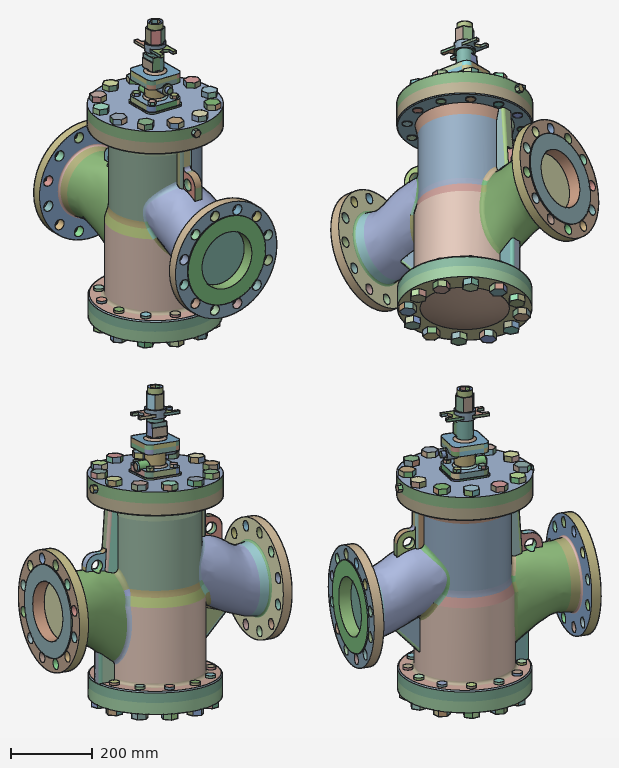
import cadquery as cq
import math


upper_radius = 115.0
lower_radius = 125.0
lower_root_fillet = 8.0
flare_radius = 121.5
flare_bottom_z = 219.5
belt_top_z = 42.0
belt_blend_radius = 117.5
belt_blend_z = 25.0
belt_bottom_z = 1.0

cover_diameter = 334.0
cover_top_z = 310.0
cover_seam_z = 280.0
cover_flange_bottom_z = 249.0
cover_edge_chamfer = 2.5
base_diameter = 330.0
base_flange_top_z = -200.0
base_edge_chamfer = 3.0
base_seam_z = -229.0
base_bottom_z = -258.0
dome_radius = 109.0
bottom_z = -279.5

bolt_count = 12
bolt_circle_radius = 142.0
base_bolt_circle_radius = 140.0
bolt_head_corners = 42.0
bolt_head_height = 14.5
base_bolt_head_height = 17.0
stud_diameter = 25.0
cover_stud_projection = 2.5
base_stud_projection = 6.5

overall_length = 604.0
nozzle_flange_diameter = 305.0
nozzle_flange_thickness = 25.0
raised_face_diameter = 233.0
raised_face_height = 3.0
bore_diameter = 150.0
bore_depth = 32.0
nozzle_hole_diameter = 27.0
nozzle_hole_circle_radius = 130.5
hub_root_radius = 92.0
hub_root_fillet = 5.0
hub_end_radius = 89.0
hub_end_x = 245.5
pipe_root_fillet = 12.0
inlet_sections = [
    (-hub_end_x, 0, hub_end_radius, hub_end_radius),
    (-215.0, -1.0, 83.5, 90.0),
    (-170.0, -15.0, 73.0, 104.0),
    (-121.5, -39.0, 65.0, 118.0),
    (-73.0, -53.0, 61.5, 121.5),
]
outlet_sections = [
    (hub_end_x, 0, hub_end_radius, hub_end_radius),
    (212.0, 10.0, 87.0, 88.0),
    (179.0, 27.0, 87.0, 92.0),
    (132.0, 46.0, 87.0, 88.0),
    (65.0, 82.0, 87.0, 87.5),
]

rib_thickness = 32.0
rib_rounding = 7.0
outlet_rib_x = 134.5
lug_thickness = 21.0
lug_diameter = 61.5
lug_hole_diameter = 30.0
lug_root_fillet = 9.0
inlet_lug = (-169.0, 99.0)
inlet_lug_foot_z = 65.0
inlet_lug_rib_x = -144.0
outlet_lug = (151.5, 150.0)
outlet_lug_foot_z = 105.0

plug_corners = 21.0
plug_tip_x = 178.0
plug_z = 294.0

gasket_side = 102.0
pilot_plate_side = 96.0
pilot_corner_radius = 16.0
gasket_top_z = 314.0
pilot_base_top_z = 330.0
pilot_bolt_offset = 33.0
pilot_bolt_diameter = 21.0
pilot_bolt_height = 8.0
pilot_barrel_diameter = 52.0
pilot_foot_diameter = 61.5
pilot_foot_height = 5.0
pilot_flange_bottom_z = 373.5
pilot_flange_seam_z = 385.5
pilot_flange_top_z = 398.5
low_port_diameter = 27.0
low_port_z = 334.0
low_port_tip_x = -55.0
low_port_chamfer = 3.0
high_port_diameter = 30.0
high_port_z = 366.0
high_port_face_x = 52.0
screw_tip_x = 63.0
screw_diameter = 17.0

neck_diameter = 42.0
neck_foot_diameter = 57.5
neck_foot_height = 5.0
block_bottom_z = 407.5
block_step_z = 432.5
block_top_z = 444.0
block_front_y = -23.5
cap_flats = 42.0
cap_bottom_z = 476.0
cap_shoulder_z = 515.0
cap_collar_diameter = 38.0
top_z = 530.5
socket_flats = 24.0
socket_depth = 14.5

collar_diameter = 53.0
collar_bottom_z = 454.5
arm_bottom_z = 459.0
arm_thickness = 7.0
arm_half_length = 56.0
arm_half_width = 23.9
notch_half_width = 13.4
notch_straight_x = 40.0
notch_tip_x = 32.0

overlap = 8.0


def cylinder_z(diameter, bottom_z, top):
    """Round bar on the Z axis between two heights."""
    return cq.Workplane("XY").workplane(offset=bottom_z).circle(diameter / 2).extrude(top - bottom_z)


def cone_z(bottom_diameter, top_diameter, bottom_z, height):
    """Cone frustum on the Z axis."""
    base = cq.Workplane("XY").workplane(offset=bottom_z).circle(bottom_diameter / 2)
    return base.workplane(offset=height).circle(top_diameter / 2).loft()


def cylinder_x(diameter, start_x, end_x, axis_z):
    """Round bar parallel to X between two positions."""
    plane = cq.Workplane("YZ", origin=(start_x, 0, axis_z))
    return plane.circle(diameter / 2).extrude(end_x - start_x)


def rounded_square(side, bottom_z, top):
    """Square plate with rounded corners, centred on the Z axis."""
    plate = cq.Workplane("XY").workplane(offset=bottom_z).rect(side, side).extrude(top - bottom_z)
    return plate.edges("|Z").fillet(pilot_corner_radius)


def hexagon_corners(flats):
    """Corner-to-corner size of a hexagon given across its flats."""
    return flats / math.cos(math.radians(30))


def make_shell():
    """Turned valve body between the two cover joints."""
    profile = (
        cq.Workplane("YZ")
        .moveTo(0, base_seam_z)
        .lineTo(base_diameter / 2, base_seam_z)
        .lineTo(base_diameter / 2, base_flange_top_z - base_edge_chamfer)
        .lineTo(base_diameter / 2 - base_edge_chamfer, base_flange_top_z)
        .lineTo(lower_radius + lower_root_fillet, base_flange_top_z)
        .radiusArc((lower_radius, base_flange_top_z + lower_root_fillet), lower_root_fillet)
        .lineTo(lower_radius, belt_bottom_z)
        .lineTo(belt_blend_radius, belt_blend_z)
        .tangentArcPoint((upper_radius, belt_top_z), relative=False)
        .lineTo(upper_radius, flare_bottom_z)
        .lineTo(flare_radius, cover_flange_bottom_z)
        .lineTo(cover_diameter / 2 - cover_edge_chamfer, cover_flange_bottom_z)
        .lineTo(cover_diameter / 2, cover_flange_bottom_z + cover_edge_chamfer)
        .lineTo(cover_diameter / 2, cover_seam_z)
        .lineTo(0, cover_seam_z)
        .close()
    )
    return profile.revolve(360, (0, 0, 0), (0, 1, 0))


def make_base_cover():
    """Lower cover with a shallow dome in its middle."""
    disc = cylinder_z(base_diameter, base_bottom_z, base_seam_z)
    dome_height = base_bottom_z - bottom_z
    dome_sphere_radius = (dome_radius**2 + dome_height**2) / (2 * dome_height)
    half_dome = (
        cq.Workplane("XZ")
        .moveTo(0, bottom_z)
        .radiusArc((dome_radius, base_bottom_z), -dome_sphere_radius)
        .lineTo(0, base_bottom_z)
        .close()
    )
    return disc.union(half_dome.revolve(360, (0, 0, 0), (0, 1, 0)))


def make_bolts(circle_radius, start_z, head_height, stud_end_z):
    """Ring of hexagon bolt heads on one cover face, with stud ends behind the flange."""
    head_direction = math.copysign(1, start_z)
    first_angle = 180 / bolt_count
    plane = cq.Workplane("XY").workplane(offset=start_z)
    heads = plane.polarArray(circle_radius, first_angle, 360, bolt_count).polygon(6, bolt_head_corners)
    heads = heads.extrude(head_direction * head_height)
    studs = plane.polarArray(circle_radius, first_angle, 360, bolt_count).circle(stud_diameter / 2)
    return heads.add(studs.extrude(stud_end_z - start_z)).combine()


def make_pipe(sections):
    """Lofted pipe through the given elliptical sections."""
    wires = []
    for x, z, half_width, half_height in sections:
        section = cq.Workplane("YZ", origin=(x, 0, z)).ellipse(half_height, half_width, 90)
        wires.append(section.wires().val())
    return cq.Workplane(cq.Solid.makeLoft(wires))


def join_pipe(shell, sections):
    """Turned body with one pipe joined to it by a rounded root."""
    side = math.copysign(1, sections[0][0])
    joined = shell.union(make_pipe(sections))
    reach = cover_diameter
    root_zone = cq.selectors.BoxSelector((0, -reach, -reach), (side * (lower_radius + overlap), reach, reach))
    return joined.edges("%BSPLINE").edges(root_zone).fillet(pipe_root_fillet)


def make_nozzle_flange(side):
    """Pipe flange with raised face, bolt holes and a tapered hub behind it."""
    end_x = overall_length / 2
    flange_face_x = end_x - raised_face_height
    flange_back_x = flange_face_x - nozzle_flange_thickness
    hub_root_x = flange_back_x - hub_root_fillet
    profile = (
        cq.Workplane("XZ")
        .moveTo(side * end_x, 0)
        .lineTo(side * end_x, raised_face_diameter / 2)
        .lineTo(side * flange_face_x, raised_face_diameter / 2)
        .lineTo(side * flange_face_x, nozzle_flange_diameter / 2)
        .lineTo(side * flange_back_x, nozzle_flange_diameter / 2)
        .lineTo(side * flange_back_x, hub_root_radius + hub_root_fillet)
        .radiusArc((side * hub_root_x, hub_root_radius), side * hub_root_fillet)
        .lineTo(side * hub_end_x, hub_end_radius)
        .lineTo(side * hub_end_x, 0)
        .close()
    )
    holes = (
        cq.Workplane("YZ", origin=(side * flange_back_x, 0, 0))
        .polarArray(nozzle_hole_circle_radius, 180 / bolt_count, 360, bolt_count)
        .circle(nozzle_hole_diameter / 2)
        .extrude(side * (nozzle_flange_thickness + raised_face_height))
    )
    return profile.revolve(360, (0, 0, 0), (1, 0, 0)).cut(holes)


def make_bore(side):
    """Blind bore in the face of the nozzle on the given side."""
    end_x = side * overall_length / 2
    return cylinder_x(bore_diameter, end_x - side * bore_depth, end_x, 0)


def make_rib(outline, outer_edges):
    """Upright rib in the middle plane, with both of its outer edges rounded."""
    rib = cq.Workplane("XZ").polyline(outline).close().extrude(rib_thickness / 2, both=True)
    return rib.faces(outer_edges).edges("not |Y").fillet(rib_rounding)


def make_ribs():
    """Ribs above and below both nozzles."""
    root_x = upper_radius - overlap
    top_of_ribs = cover_flange_bottom_z + overlap
    inlet_upper = [(-root_x, top_of_ribs), (-135.0, top_of_ribs), (-148.0, 69.0), (-root_x, 69.0)]
    inlet_lower = [
        (-root_x, base_flange_top_z - overlap),
        (-164.5, base_flange_top_z - overlap),
        (-164.5, -97.0),
        (-root_x, -97.0),
    ]
    outlet_upper = [(root_x, top_of_ribs), (outlet_rib_x, top_of_ribs), (outlet_rib_x, 105.0), (root_x, 105.0)]
    outlet_lower = [(root_x, -159.5), (194.0, -68.0), (root_x, -40.5)]
    ribs = make_rib(inlet_upper, "<X").union(make_rib(inlet_lower, "<X"))
    ribs = ribs.union(make_rib(outlet_upper, ">X"))
    return ribs.union(make_rib(outlet_lower, "<Z"))


def make_lug(center, foot_z, rib_x):
    """Lifting lug: round eye blended into the rib beside it and standing on the pipe below it."""
    x, z = center
    side = math.copysign(1, x)
    radius = lug_diameter / 2
    root_x = side * upper_radius
    outer_x = x + side * radius
    outline = (
        cq.Workplane("XZ")
        .moveTo(root_x, foot_z)
        .lineTo(outer_x, foot_z)
        .lineTo(outer_x, z)
        .radiusArc((x, z + radius), -side * radius)
        .lineTo(rib_x + side * lug_root_fillet, z + radius)
        .radiusArc((rib_x, z + radius + lug_root_fillet), side * lug_root_fillet)
        .lineTo(root_x, z + radius + lug_root_fillet)
        .close()
    )
    return outline.extrude(lug_thickness / 2, both=True)


def make_lug_hole(center):
    """Through hole of a lifting lug."""
    hole = cq.Workplane("XZ").center(*center).circle(lug_hole_diameter / 2)
    return hole.extrude(rib_thickness, both=True)


def make_plug(side):
    """Hexagonal plug in the rim of the cover."""
    start_x = cover_diameter / 2 - overlap
    plane = cq.Workplane("YZ", origin=(side * start_x, 0, plug_z))
    return plane.polygon(6, plug_corners).extrude(side * (plug_tip_x - start_x))


def make_pilot():
    """Pilot unit: square base with four bolts, barrel with two ports, and square flange."""
    pilot = rounded_square(gasket_side, cover_top_z, gasket_top_z)
    pilot = pilot.union(rounded_square(pilot_plate_side, gasket_top_z, pilot_base_top_z))
    bolts = cq.Workplane("XY").workplane(offset=pilot_base_top_z)
    bolts = bolts.rect(2 * pilot_bolt_offset, 2 * pilot_bolt_offset, forConstruction=True).vertices()
    pilot = pilot.union(bolts.polygon(6, pilot_bolt_diameter).extrude(pilot_bolt_height))
    pilot = pilot.union(cylinder_z(pilot_barrel_diameter, pilot_base_top_z, pilot_flange_bottom_z))
    foot = cone_z(pilot_foot_diameter, pilot_barrel_diameter, pilot_base_top_z, pilot_foot_height)
    pilot = pilot.union(foot)
    lower_plate = rounded_square(pilot_plate_side, pilot_flange_bottom_z, pilot_flange_seam_z)
    upper_plate = rounded_square(pilot_plate_side, pilot_flange_seam_z, pilot_flange_top_z)
    pilot = pilot.union(lower_plate).union(upper_plate, clean=False)
    low_port = cylinder_x(low_port_diameter, 0, low_port_tip_x, low_port_z)
    pilot = pilot.union(low_port.faces("<X").chamfer(low_port_chamfer), clean=False)
    pilot = pilot.union(cylinder_x(high_port_diameter, 0, high_port_face_x, high_port_z), clean=False)
    screw = cylinder_x(screw_diameter, high_port_face_x, screw_tip_x, high_port_z)
    return pilot.union(screw, clean=False)


def make_spindle():
    """Neck with a flat-fronted block, carrying a hexagonal cap with a hexagon socket."""
    spindle = cylinder_z(neck_diameter, pilot_flange_top_z, cap_bottom_z)
    spindle = spindle.union(
        cone_z(neck_foot_diameter, neck_diameter, pilot_flange_top_z, neck_foot_height)
    )
    for front_y, start_z, end_z in (
        (block_front_y, block_bottom_z, block_step_z),
        (-neck_diameter / 2, block_step_z, block_top_z),
    ):
        block = cq.Workplane("XY").box(neck_diameter, -front_y, end_z - start_z, centered=(True, False, False))
        spindle = spindle.union(block.translate((0, front_y, start_z)))
    cap = cq.Workplane("XY").workplane(offset=cap_bottom_z).polygon(6, hexagon_corners(cap_flats))
    spindle = spindle.union(cap.extrude(cap_shoulder_z - cap_bottom_z))
    spindle = spindle.union(cylinder_z(cap_collar_diameter, cap_shoulder_z, top_z))
    socket = cq.Workplane("XY").workplane(offset=top_z).polygon(6, hexagon_corners(socket_flats))
    return spindle.cut(socket.extrude(-socket_depth))


def make_valve():
    """Complete valve: body, covers, nozzles, ribs, bolts, pilot unit and spindle."""
    valve = make_shell()
    for sections in (inlet_sections, outlet_sections):
        valve = join_pipe(valve, sections)
    for side in (-1, 1):
        valve = valve.union(make_nozzle_flange(side))
    valve = valve.union(make_ribs())
    valve = valve.union(make_lug(inlet_lug, inlet_lug_foot_z, inlet_lug_rib_x))
    valve = valve.union(make_lug(outlet_lug, outlet_lug_foot_z, outlet_rib_x))
    for center in (inlet_lug, outlet_lug):
        valve = valve.cut(make_lug_hole(center))
    for side in (-1, 1):
        valve = valve.cut(make_bore(side))
    added_parts = [
        cylinder_z(cover_diameter, cover_seam_z, cover_top_z),
        make_base_cover(),
        make_bolts(
            bolt_circle_radius, cover_top_z, bolt_head_height, cover_flange_bottom_z - cover_stud_projection
        ),
        make_bolts(
            base_bolt_circle_radius,
            base_bottom_z,
            base_bolt_head_height,
            base_flange_top_z + base_stud_projection,
        ),
        make_plug(-1),
        make_plug(1),
        make_pilot(),
        make_spindle(),
    ]
    for part in added_parts:
        valve = valve.union(part, clean=False)
    return valve


def make_handle():
    """Collar around the neck with two fork-ended arms."""
    collar = cylinder_z(collar_diameter, collar_bottom_z, cap_bottom_z)
    arms = cq.Workplane("XY").workplane(offset=arm_bottom_z)
    handle = collar.union(arms.rect(2 * arm_half_length, 2 * arm_half_width).extrude(arm_thickness))
    for side in (-1, 1):
        notch = [
            (side * arm_half_length, -notch_half_width),
            (side * notch_straight_x, -notch_half_width),
            (side * notch_tip_x, 0),
            (side * notch_straight_x, notch_half_width),
            (side * arm_half_length, notch_half_width),
        ]
        handle = handle.cut(arms.polyline(notch).close().extrude(arm_thickness))
    return handle.cut(cylinder_z(neck_diameter, collar_bottom_z, cap_bottom_z))


valve = make_valve()
handle = make_handle()
result = cq.Compound.makeCompound([valve.val(), handle.val()])